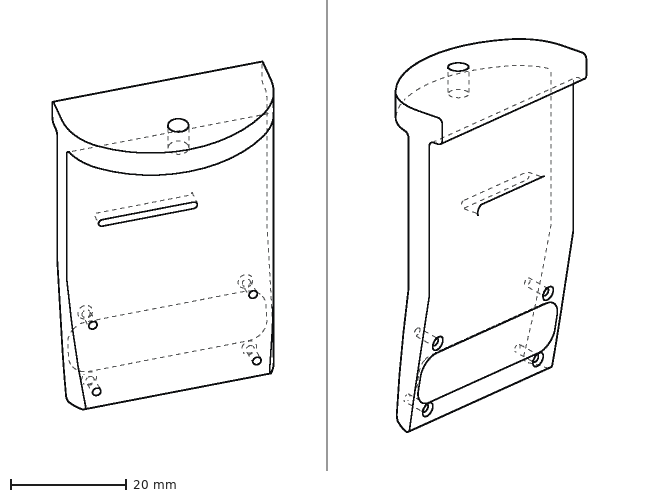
import cadquery as cq
import math

flange_depth = 19.8
width = 38.0
height = 61.85
half_width = width / 2

thickness = 5.0
lip = 3.0
bend_drop = 34.4
bend_angle = 10.0
edge_radius = 1.0

side_length = 5.8
corner_radius = 11.15

flange_hole_x = 13.0
flange_hole_diameter = 3.6

slot_y = -4.0
slot_drop = 23.2
slot_straight = 16.45
slot_throat = 1.5
slot_flare = 2.05

screw_y = 14.55
screw_distances = (11.15, 24.55)
screw_diameter = 1.5
screw_head_diameter = 2.65

pocket_distance = 18.1
pocket_length = 36.0
pocket_width = 10.0
pocket_corner = 3.6
pocket_depth = 2.8
pocket_floor_length = 26.35
pocket_floor_width = 0.25

leg_sin = math.sin(math.radians(bend_angle))
leg_cos = math.cos(math.radians(bend_angle))
toe_rise = edge_radius * (leg_sin + leg_cos - 1)
leg_length = (height - bend_drop + toe_rise) / leg_cos

leg_plane = cq.Plane(
    origin=(lip, 0, -bend_drop), xDir=(leg_sin, 0, -leg_cos), normal=(-leg_cos, 0, -leg_sin)
)


def make_profile():
    """T-shaped side profile with a bent leg, across the full width."""
    back = lip + thickness
    toe_x = lip + leg_length * leg_sin
    toe_z = -bend_drop - leg_length * leg_cos
    toe_back_z = toe_z + thickness * leg_sin
    toe_back_x = back + (-bend_drop - toe_back_z) * leg_sin / leg_cos
    body = (
        cq.Workplane("XZ")
        .polyline([
            (0, 0), (flange_depth, 0), (flange_depth, -thickness), (back, -thickness),
            (back, -bend_drop), (toe_back_x, toe_back_z), (toe_x, toe_z),
            (lip, -bend_drop), (lip, -thickness), (0, -thickness),
        ])
        .close()
        .extrude(half_width, both=True)
    )
    rounded = [
        (0, 0), (0, -thickness), (lip, -thickness), (back, -thickness),
        (toe_x, toe_z), (toe_back_x, toe_back_z),
    ]
    for x, z in rounded:
        body = body.edges(cq.selectors.NearestToPointSelector((x, 0, z))).fillet(edge_radius)
    return body


def make_outline():
    """Plan outline: straight sides, corner arcs and a nose arc tangent to them."""
    corner_y = half_width - corner_radius
    reach = flange_depth - side_length
    nose_radius = (reach**2 + corner_y**2 - corner_radius**2) / (2 * (reach - corner_radius))
    turn = math.atan2(corner_y, side_length - flange_depth + nose_radius)

    def corner_point(angle):
        return (
            side_length + corner_radius * math.cos(angle),
            corner_y + corner_radius * math.sin(angle),
        )

    middle = corner_point((turn + math.pi / 2) / 2)
    joint = corner_point(turn)
    return (
        cq.Workplane("XY")
        .moveTo(0, -half_width)
        .lineTo(side_length, -half_width)
        .threePointArc((middle[0], -middle[1]), (joint[0], -joint[1]))
        .threePointArc((flange_depth, 0), joint)
        .threePointArc(middle, (side_length, half_width))
        .lineTo(0, half_width)
        .close()
        .extrude(-height)
    )


def make_flange_hole():
    """Vertical hole through the flange."""
    return (
        cq.Workplane("XY")
        .center(flange_hole_x, 0)
        .circle(flange_hole_diameter / 2)
        .extrude(-thickness)
    )


def cut_slot(body):
    """Through slot whose front rim is rolled outward."""
    slot = (
        cq.Workplane("YZ", origin=(lip, slot_y, -slot_drop))
        .slot2D(slot_straight + slot_throat, slot_throat)
        .extrude(thickness)
    )
    body = body.cut(slot)
    front_face = cq.selectors.NearestToPointSelector((lip, 0, -(thickness + bend_drop) / 2))
    rim = body.faces(front_face).val().innerWires()[0]
    return body.newObject(rim.Edges()).fillet(slot_flare)


def make_screw_holes():
    """Through holes square to the leg, with 45 degree countersinks in its front face."""
    points = [(d, y) for d in screw_distances for y in (-screw_y, screw_y)]
    head_height = (screw_head_diameter - screw_diameter) / 2
    holes = cq.Workplane(leg_plane).pushPoints(points).circle(screw_diameter / 2).extrude(-2 * thickness)
    for x, y in points:
        head = cq.Solid.makeCone(
            screw_head_diameter / 2,
            screw_diameter / 2,
            head_height,
            pnt=leg_plane.toWorldCoords((x, y, 0)),
            dir=-leg_plane.zDir,
        )
        holes = holes.union(cq.Workplane(head))
    return holes


def make_pocket():
    """Pocket with bowed walls that sink from a rounded rectangular rim to a narrow flat floor."""
    half = pocket_width / 2
    half_length = pocket_length / 2
    shoulder = half_length - pocket_corner
    flat = half - pocket_corner
    diagonal = pocket_corner * math.sqrt(0.5)
    bow_radius = (half**2 + pocket_depth**2) / (2 * pocket_depth)
    middle_depth = math.sqrt(bow_radius**2 - (half / 2) ** 2) - bow_radius + pocket_depth

    def place(x, y, depth=0.0):
        return leg_plane.toWorldCoords((pocket_distance + x, y, -depth))

    def make_bowed_edge(rim_xy, floor_xy):
        middle = [(rim + floor) / 2 for rim, floor in zip(rim_xy, floor_xy)]
        return cq.Edge.makeThreePointArc(
            place(*rim_xy), place(*middle, middle_depth), place(*floor_xy, pocket_depth)
        )

    def make_flat_face(edges):
        return cq.Face.makeFromWires(cq.Wire.assembleEdges(edges))

    faces = []
    rim_edges = []
    floor_edges = []
    walls = {-1: [], 1: []}
    for end in (-1, 1):
        spokes = []
        for side in (-1, 1):
            floor_xy = (side * pocket_floor_width / 2, end * pocket_floor_length / 2)
            wall_xy = (side * half, end * shoulder)
            end_xy = (side * flat, end * half_length)
            corner_xy = (side * (flat + diagonal), end * (shoulder + diagonal))
            corner = cq.Edge.makeThreePointArc(place(*wall_xy), place(*corner_xy), place(*end_xy))
            wall = make_bowed_edge(wall_xy, floor_xy)
            spoke = make_bowed_edge(end_xy, floor_xy)
            faces.append(cq.Face.makeNSidedSurface([corner, spoke, wall], []))
            rim_edges.append(corner)
            walls[side].append(wall)
            spokes.append(spoke)
        rim_edge = cq.Edge.makeLine(*[spoke.startPoint() for spoke in spokes])
        floor_edge = cq.Edge.makeLine(*[spoke.endPoint() for spoke in spokes])
        faces.append(cq.Face.makeRuledSurface(*spokes))
        rim_edges.append(rim_edge)
        floor_edges.append(floor_edge)
    for side_walls in walls.values():
        faces.append(cq.Face.makeRuledSurface(*side_walls))
        rim_edges.append(cq.Edge.makeLine(*[wall.startPoint() for wall in side_walls]))
        floor_edges.append(cq.Edge.makeLine(*[wall.endPoint() for wall in side_walls]))
    faces.append(make_flat_face(rim_edges))
    faces.append(make_flat_face(floor_edges))
    return cq.Workplane(cq.Solid.makeSolid(cq.Shell.makeShell(faces)))


body = make_profile().intersect(make_outline())
body = cut_slot(body)
body = body.cut(make_flange_hole()).cut(make_screw_holes()).cut(make_pocket())
result = cq.Workplane(body.solids().val())